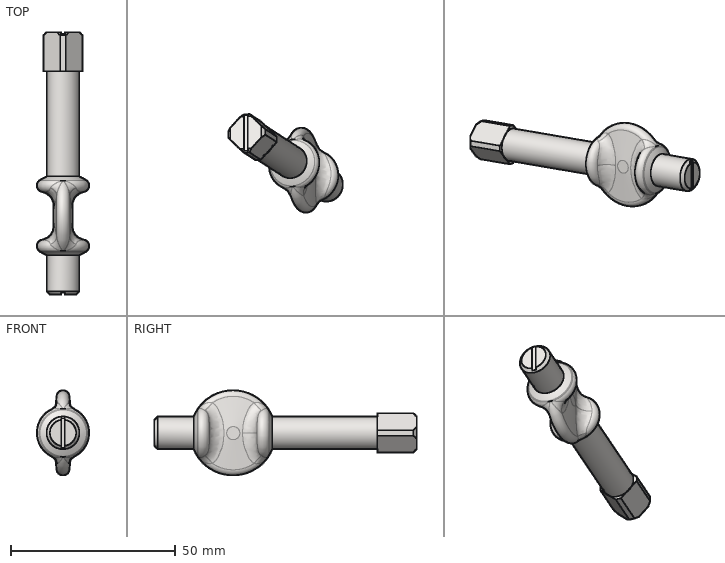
import cadquery as cq
import math


rod_radius = 5.0
front_end_y = -24.0
back_end_y = 56.0
end_chamfer = 1.0

head_length = 12.0
head_corner_width = 12.0
corner_flat_width = 1.7

slot_width = 1.2
slot_depth = 0.5

wing_radius = 13.0
rim_radius = 2.0
hub_radius = 2.0
face_slope = math.radians(6.3)

collar_radius = 8.0
collar_rounding = 2.0
collar_fillet = 4.0

rounding_centre_x = collar_radius - collar_rounding
rounding_centre_y = math.sqrt((wing_radius - collar_rounding) ** 2 - rounding_centre_x**2)
collar_inner_y = rounding_centre_y - collar_rounding
collar_outer_y = math.sqrt(wing_radius**2 - rod_radius**2)

fillet_limit_y = 10.7

edge_tolerance = 0.01


def make_front_stub():
    """Chamfered rod from the front end into the front collar."""
    return (
        cq.Workplane("XZ", origin=(0, front_end_y, 0))
        .circle(rod_radius)
        .extrude(front_end_y + rounding_centre_y)
        .faces("<Y")
        .chamfer(end_chamfer)
    )


def make_shaft():
    """Rod from the back collar to the square head."""
    head_start_y = back_end_y - head_length
    return (
        cq.Workplane("XZ", origin=(0, head_start_y, 0))
        .circle(rod_radius)
        .extrude(head_start_y - rounding_centre_y)
    )


def make_head():
    """Octagonal prism whose four narrow sides are chamfered at the end."""
    half = head_corner_width / 2
    flat = corner_flat_width / 2
    outline = [
        (half, -flat),
        (half, flat),
        (flat, half),
        (-flat, half),
        (-half, flat),
        (-half, -flat),
        (-flat, -half),
        (flat, -half),
    ]
    head = (
        cq.Workplane("XZ", origin=(0, back_end_y, 0))
        .polyline(outline)
        .close()
        .extrude(head_length)
    )
    return head.faces(">Y").edges("|X or |Z").chamfer(end_chamfer)


def make_slot(end_y):
    return cq.Workplane("XY").box(slot_width, 2 * slot_depth, head_corner_width).translate((0, end_y, 0))


def make_wing():
    """Double cone with a flat hub on each side and a full-round rim."""
    rim_x = rim_radius * math.cos(face_slope)
    rim_y = wing_radius - rim_radius + rim_radius * math.sin(face_slope)
    hub_x = rim_x + (rim_y - hub_radius) * math.tan(face_slope)
    return (
        cq.Workplane("XY")
        .moveTo(-hub_x, 0)
        .lineTo(hub_x, 0)
        .lineTo(hub_x, hub_radius)
        .lineTo(rim_x, rim_y)
        .threePointArc((0, wing_radius), (-rim_x, rim_y))
        .lineTo(-hub_x, hub_radius)
        .close()
        .revolve(360, (0, 0, 0), (1, 0, 0))
    )


def make_collar():
    """Collar on the +Y side: flat inner face, rounded rim, spherical outer face."""
    sphere_ratio = wing_radius / (wing_radius - collar_rounding)
    tangent_x = rounding_centre_x * sphere_ratio
    tangent_y = rounding_centre_y * sphere_ratio
    sphere_mid_x = (tangent_x + rod_radius) / 2
    sphere_mid_y = math.sqrt(wing_radius**2 - sphere_mid_x**2)
    return (
        cq.Workplane("XY")
        .moveTo(0, collar_inner_y)
        .lineTo(rounding_centre_x, collar_inner_y)
        .threePointArc((collar_radius, rounding_centre_y), (tangent_x, tangent_y))
        .threePointArc((sphere_mid_x, sphere_mid_y), (rod_radius, collar_outer_y))
        .lineTo(0, collar_outer_y)
        .close()
        .revolve(360, (0, 0, 0), (0, 1, 0))
    )


def is_junction(edge):
    """True for the edges where a collar runs into the wing."""
    box = edge.BoundingBox()
    one_side_of_wing = box.xmin * box.xmax > -edge_tolerance
    nearest_y = min(abs(box.ymin), abs(box.ymax))
    on_collar = collar_inner_y - edge_tolerance < nearest_y < fillet_limit_y - edge_tolerance
    return one_side_of_wing and on_collar and edge.geomType() not in ("CIRCLE", "LINE")


def slab(near_y, far_y):
    """Block wider than the wing that spans the given stretch of Y."""
    span = 4 * wing_radius
    return cq.Workplane("XY").box(span, far_y - near_y, span).translate((0, (near_y + far_y) / 2, 0))


def make_grip():
    """Wing with both collars: a filleted core and an unfilleted tip at each end."""
    collar = make_collar()
    grip = make_wing().union(collar).union(collar.mirror("XZ"))
    core = grip.intersect(slab(-fillet_limit_y, fillet_limit_y))
    junction = [edge for edge in core.edges().vals() if is_junction(edge)]
    core = core.newObject(junction).fillet(collar_fillet)
    tip = grip.intersect(slab(fillet_limit_y, 2 * wing_radius))
    return core.union(tip).union(tip.mirror("XZ"))


result = make_grip().union(make_front_stub()).union(make_shaft()).union(make_head())
for end_y in (front_end_y, back_end_y):
    result = result.cut(make_slot(end_y))